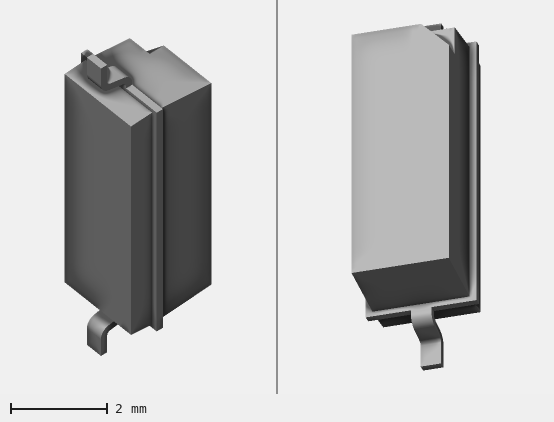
import cadquery as cq
import math


total_length = 8.12
flange_width = 2.4
flange_length = 6.18
sheet_thickness = 0.17
flange_front_y = 0.68
flange_back_y = flange_front_y + sheet_thickness

lead_width = 0.45
foot_length = 0.48
bend_inner_radius = 0.1
bend_outer_radius = bend_inner_radius + sheet_thickness
arm_slope = math.radians(10)

body_width = 2.11
body_front_y = 0.105
body_back_y = 2.3
parting_length = 5.985
front_length = 5.89
back_length = 5.69
parting_y = flange_front_y

notch_depth = 0.415
notch_size = 0.6


def extrude_across_x(profile, width):
    """Extrude a YZ profile symmetrically about X = 0."""
    return profile.extrude(width / 2, both=True)


def make_body():
    profile = (
        cq.Workplane("YZ")
        .moveTo(body_front_y, -front_length / 2)
        .lineTo(parting_y, -parting_length / 2)
        .lineTo(body_back_y, -back_length / 2)
        .lineTo(body_back_y, back_length / 2)
        .lineTo(parting_y, parting_length / 2)
        .lineTo(body_front_y, front_length / 2)
        .close()
    )
    return extrude_across_x(profile, body_width)


def make_notch():
    """Triangular prism whose sloping face passes through foot_z on the -X side."""
    side_x = -body_width / 2
    foot_z = back_length / 2 - notch_size
    prism_leg = notch_size + (parting_length - back_length)
    return (
        cq.Workplane("XZ", origin=(0, body_back_y, 0))
        .moveTo(side_x, foot_z)
        .lineTo(side_x + prism_leg, foot_z + prism_leg)
        .lineTo(side_x, foot_z + prism_leg)
        .close()
        .extrude(notch_depth)
    )


def make_flange():
    flange = cq.Workplane("XY").box(flange_width, sheet_thickness, flange_length)
    return flange.translate((0, flange_front_y + sheet_thickness / 2, 0))


def make_upper_lead():
    """Gull-wing lead: foot, bend, sloping arm, opposite bend, stub into the flange."""
    tip_z = total_length / 2
    root_z = flange_length / 2

    bend_radius = (bend_inner_radius + bend_outer_radius) / 2
    bend_depth = bend_radius * (1 - math.sin(arm_slope))
    arm_run = flange_front_y - 2 * bend_depth
    bends_height = 2 * bend_radius * math.cos(arm_slope) + arm_run * math.tan(arm_slope)

    foot_centre = (bend_outer_radius, tip_z - foot_length)
    stub_centre = (flange_front_y - bend_inner_radius, foot_centre[1] - bends_height)
    full_bend = math.pi / 2 - arm_slope

    def foot_bend_point(radius, turn):
        return (
            foot_centre[0] - radius * math.cos(turn),
            foot_centre[1] - radius * math.sin(turn),
        )

    def stub_bend_point(radius, turn):
        return (
            stub_centre[0] + radius * math.cos(turn),
            stub_centre[1] + radius * math.sin(turn),
        )

    half_bend = full_bend / 2
    profile = (
        cq.Workplane("YZ")
        .moveTo(0, tip_z)
        .lineTo(*foot_bend_point(bend_outer_radius, 0))
        .threePointArc(
            foot_bend_point(bend_outer_radius, half_bend),
            foot_bend_point(bend_outer_radius, full_bend),
        )
        .lineTo(*stub_bend_point(bend_inner_radius, full_bend))
        .threePointArc(
            stub_bend_point(bend_inner_radius, half_bend),
            stub_bend_point(bend_inner_radius, 0),
        )
        .lineTo(flange_front_y, root_z)
        .lineTo(flange_back_y, root_z)
        .lineTo(*stub_bend_point(bend_outer_radius, 0))
        .threePointArc(
            stub_bend_point(bend_outer_radius, half_bend),
            stub_bend_point(bend_outer_radius, full_bend),
        )
        .lineTo(*foot_bend_point(bend_inner_radius, full_bend))
        .threePointArc(
            foot_bend_point(bend_inner_radius, half_bend),
            foot_bend_point(bend_inner_radius, 0),
        )
        .lineTo(sheet_thickness, tip_z)
        .close()
    )
    return extrude_across_x(profile, lead_width)


upper_lead = make_upper_lead()
lower_lead = upper_lead.mirror("XY")

body = make_body().cut(make_notch())
result = body.union(make_flange()).union(upper_lead).union(lower_lead)